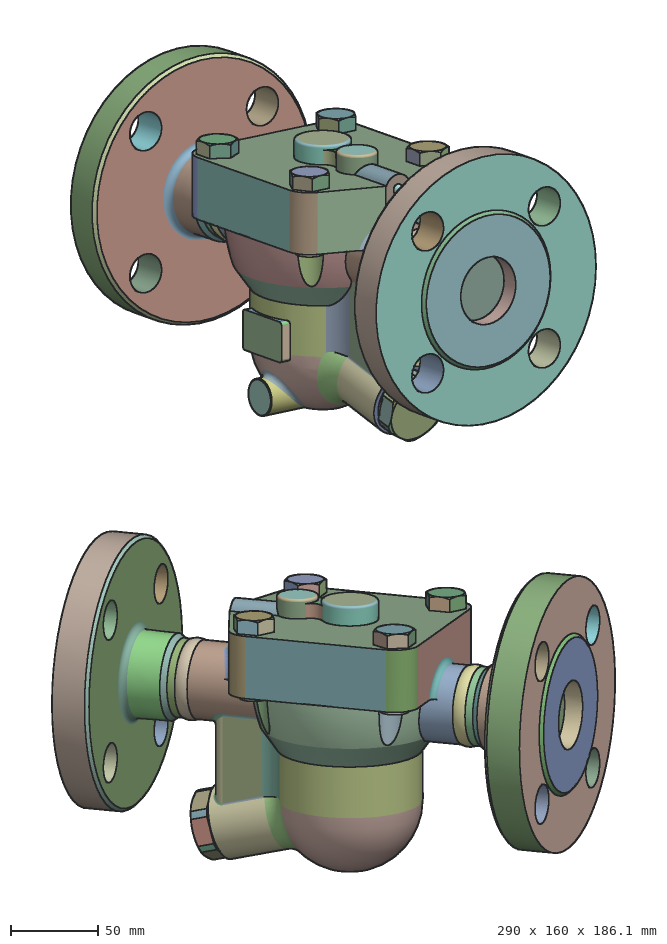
import cadquery as cq
import math


pick_margin = 0.5

overall_length = 290.0
flange_radius = 80.0
raised_face_height = 2.0
raised_face_base_radius = 47.0
raised_face_top_radius = 45.0
flange_thickness = 22.0
flange_chamfer = 2.0
bore_diameter = 40.0
bore_depth = 11.0
bolt_circle_diameter = 120.0
flange_hole_diameter = 23.0
flange_hole_count = 4
neck_fillet = 4.0
neck_root_radius = 25.7
neck_tip_radius = 25.4
neck_length = 20.0
neck_cone_length = 3.5
pipe_radius = 23.0
bead_center_x = 85.0
bead_width = 7.6
bead_height = 0.9

half_length = overall_length / 2
flange_face_x = half_length - raised_face_height
flange_back_x = flange_face_x - flange_thickness
neck_root_x = flange_back_x - neck_fillet
neck_tip_x = neck_root_x - neck_length
pipe_start_x = neck_tip_x - neck_cone_length

body_x = -10.0
plate_bottom_z = 7.8
joint_z = 27.8
cover_top_z = 44.8
cover_bolt_offset = 43.0
plate_corner_radius = 14.5
plate_end_x = 60.4
plate_end_half_width = 9.0
pipe_plate_fillet = 3.5

crown_angle = 30.0
bolt_across_flats = 21.4
bolt_corner_radius = bolt_across_flats / math.sqrt(3)
bolt_head_height = 8.6
bolt_tip_radius = 8.2
bolt_tip_length = 3.2
bolt_clearance_radius = 9.0

boss_top_z = 56.3
large_boss_radius = 16.5
small_boss_radius = 12.0
small_boss_x = 22.0
boss_edge_radius = 1.5
boss_web_top_z = 53.6
boss_web_fillet = 7.0
channel_radius = 9.0
channel_top_z = 50.4
end_ball_radius = 3.2

bowl_radius = 42.0
bowl_center_z = -62.6
shoulder_bottom_z = -32.2
shoulder_top_z = -18.8
shoulder_radius = 51.5
collar_top_radius = 56.7
collar_bulge = 1.0

pad_width = 36.4
pad_top_z = -42.4
pad_bottom_z = -66.6
pad_face_y = -44.0
pad_corner_radius = 2.0

drain_z = -90.8
drain_radius = 11.0
drain_end_y = -46.0
drain_edge_chamfer = 0.5
drain_fillet = 3.0

branch_tilt = 15.0
branch_radius = 22.0
branch_length = 79.5
branch_blend = 16.0
gasket_radius = 19.0
gasket_length = 1.7
plug_end = 92.2
plug_across_flats = 37.8
plug_corner_radius = 20.57
web_half_width = 17.5
web_start_x = 5.0
web_sink = 6.0
web_end_x = 67.5
web_corner_radius = 6.0
web_blend = 16.0
web_pipe_fillet = 3.5
web_branch_fillet = 2.0


def hex_head(across_flats, corner_radius, height):
    """Hexagon head standing on Z=0, turned down to corner_radius, its crown chamfered."""
    crown_radius = across_flats / 2
    crown_drop = (corner_radius - crown_radius) * math.tan(math.radians(crown_angle))
    prism = cq.Workplane("XY").polygon(6, 2 * across_flats / math.sqrt(3)).extrude(height)
    envelope = (
        cq.Workplane("XZ")
        .moveTo(0, 0)
        .lineTo(corner_radius, 0)
        .lineTo(corner_radius, height - crown_drop)
        .lineTo(crown_radius, height)
        .lineTo(0, height)
        .close()
        .revolve(360, (0, 0, 0), (0, 1, 0))
    )
    return prism.intersect(envelope)


def cylinder_z(x, y, radius, bottom, top):
    return cq.Workplane("XY").workplane(offset=bottom).center(x, y).circle(radius).extrude(top - bottom)


def cylinder_x(radius, z, start, end):
    return cq.Workplane("YZ").workplane(offset=start).center(0, z).circle(radius).extrude(end - start)


def box_between(x_range, y_range, z_range):
    sizes = [high - low for low, high in (x_range, y_range, z_range)]
    corner = (x_range[0], y_range[0], z_range[0])
    return cq.Workplane("XY").box(*sizes, centered=False).translate(corner)


def pipe_half():
    """Flange, weld neck and pipe on the +X side, from the body out to the raised face."""
    fillet_sag = neck_fillet * (1 - math.sqrt(0.5))
    half = (
        cq.Workplane("XY")
        .moveTo(body_x, 0)
        .lineTo(body_x, pipe_radius)
        .lineTo(bead_center_x - bead_width / 2, pipe_radius)
        .threePointArc(
            (bead_center_x, pipe_radius + bead_height),
            (bead_center_x + bead_width / 2, pipe_radius),
        )
        .lineTo(pipe_start_x, pipe_radius)
        .lineTo(neck_tip_x, neck_tip_radius)
        .lineTo(neck_root_x, neck_root_radius)
        .threePointArc(
            (flange_back_x - fillet_sag, neck_root_radius + fillet_sag),
            (flange_back_x, neck_root_radius + neck_fillet),
        )
        .lineTo(flange_back_x, flange_radius - flange_chamfer)
        .lineTo(flange_back_x + flange_chamfer, flange_radius)
        .lineTo(flange_face_x, flange_radius)
        .lineTo(flange_face_x, raised_face_base_radius)
        .lineTo(half_length, raised_face_top_radius)
        .lineTo(half_length, 0)
        .close()
        .revolve(360, (0, 0, 0), (1, 0, 0))
    )
    bore = cylinder_x(bore_diameter / 2, 0, half_length - bore_depth, half_length)
    holes = (
        cq.Workplane("YZ")
        .workplane(offset=flange_back_x)
        .polarArray(bolt_circle_diameter / 2, 180 / flange_hole_count, 360, flange_hole_count)
        .circle(flange_hole_diameter / 2)
        .extrude(flange_thickness)
    )
    return half.cut(bore).cut(holes)


def plate(bottom, top):
    """Plate with two rounded corners at -X and a tapered nose at +X."""
    corner_x = body_x + cover_bolt_offset
    left_x = body_x - cover_bolt_offset - plate_corner_radius
    half_width = cover_bolt_offset + plate_corner_radius
    reach_x = plate_end_x - corner_x
    reach_y = plate_end_half_width - cover_bolt_offset
    reach = math.hypot(reach_x, reach_y)
    tangent_angle = math.atan2(reach_y, reach_x) + math.acos(plate_corner_radius / reach)

    def corner_point(angle):
        return (
            corner_x + plate_corner_radius * math.cos(angle),
            cover_bolt_offset + plate_corner_radius * math.sin(angle),
        )

    tangent = corner_point(tangent_angle)
    middle = corner_point((tangent_angle + math.pi / 2) / 2)
    outline = (
        cq.Workplane("XY")
        .workplane(offset=bottom)
        .moveTo(left_x, half_width)
        .lineTo(corner_x, half_width)
        .threePointArc(middle, tangent)
        .lineTo(plate_end_x, plate_end_half_width)
        .lineTo(plate_end_x, -plate_end_half_width)
        .lineTo(tangent[0], -tangent[1])
        .threePointArc((middle[0], -middle[1]), (corner_x, -half_width))
        .lineTo(left_x, -half_width)
        .close()
        .extrude(top - bottom)
    )
    return outline.edges("|Z and <X").fillet(plate_corner_radius)


def body_plate():
    """Lower plate with the upper part of the pipe running into it through fillets."""
    stub_reach = bead_center_x - bead_width
    stub = cylinder_x(pipe_radius, 0, -stub_reach, stub_reach)
    above = box_between(
        (-stub_reach, stub_reach), (-flange_radius, flange_radius), (plate_bottom_z, joint_z)
    )
    joined = plate(plate_bottom_z, joint_z).union(stub.intersect(above))
    left_x = body_x - cover_bolt_offset - plate_corner_radius
    near = pipe_radius + pipe_plate_fillet
    joints = [
        (left_x - pick_margin, left_x + pick_margin),
        (plate_end_x - near / 2, plate_end_x + pick_margin),
    ]
    for start, end in joints:
        joint = cq.selectors.BoxSelector(
            (start, -near, plate_bottom_z - pick_margin), (end, near, pipe_radius + pick_margin), True
        )
        joined = joined.edges(joint).fillet(pipe_plate_fillet)
    return joined


def bowl():
    """Revolved bowl: flared collar, conical shoulder, straight wall and round bottom."""
    collar_middle = (
        (collar_top_radius + shoulder_radius) / 2 + collar_bulge,
        (plate_bottom_z + shoulder_top_z) / 2,
    )
    quarter = math.sqrt(0.5) * bowl_radius
    shape = (
        cq.Workplane("XZ")
        .moveTo(0, plate_bottom_z)
        .lineTo(collar_top_radius, plate_bottom_z)
        .threePointArc(collar_middle, (shoulder_radius, shoulder_top_z))
        .lineTo(bowl_radius, shoulder_bottom_z)
        .lineTo(bowl_radius, bowl_center_z)
        .threePointArc((quarter, bowl_center_z - quarter), (0, bowl_center_z - bowl_radius))
        .close()
        .revolve(360, (0, 0, 0), (0, 1, 0))
        .translate((body_x, 0, 0))
    )
    for x, y in cover_bolt_points():
        shape = shape.cut(cylinder_z(x, y, bolt_clearance_radius, shoulder_bottom_z, plate_bottom_z))
    return shape


def drained_bowl():
    """Bowl with the drain stub blended into its round bottom."""
    drain = (
        cq.Workplane("XZ")
        .center(body_x, drain_z)
        .circle(drain_radius)
        .extrude(-drain_end_y)
        .faces("<Y")
        .chamfer(drain_edge_chamfer)
    )
    reach = drain_radius + pick_margin
    joint = cq.selectors.BoxSelector(
        (body_x - reach, drain_end_y + 2 * drain_edge_chamfer, drain_z - reach),
        (body_x + reach, -pick_margin, drain_z + reach),
        True,
    )
    return bowl().union(drain).edges(joint).fillet(drain_fillet)


def label_pad():
    half_width = pad_width / 2
    pad = box_between(
        (body_x - half_width, body_x + half_width), (pad_face_y, 0), (pad_bottom_z, pad_top_z)
    )
    return pad.edges("|Y").fillet(pad_corner_radius)


def cover_bolt_points():
    signs = [(-1, -1), (1, -1), (1, 1), (-1, 1)]
    return [(body_x + sx * cover_bolt_offset, sy * cover_bolt_offset) for sx, sy in signs]


def cover_bolts():
    """Hexagon heads on the cover, each a quarter turn from the next, and the bolt tips below."""
    bolts = cq.Workplane("XY")
    for index, (x, y) in enumerate(cover_bolt_points()):
        head = hex_head(bolt_across_flats, bolt_corner_radius, bolt_head_height)
        head = head.rotate((0, 0, 0), (0, 0, 1), 90 * (index % 2))
        bolts = bolts.add(head.translate((x, y, cover_top_z)))
        bolts = bolts.add(cylinder_z(x, y, bolt_tip_radius, plate_bottom_z - bolt_tip_length, joint_z))
    return bolts.combine()


def boss_web():
    """Web between the two cover bosses, its flanks one arc tangent to both of them."""
    spacing = small_boss_x - body_x
    to_large = large_boss_radius + boss_web_fillet
    to_small = small_boss_radius + boss_web_fillet
    along = (spacing**2 + to_large**2 - to_small**2) / (2 * spacing)
    across = math.sqrt(to_large**2 - along**2)
    start = (
        body_x + along * large_boss_radius / to_large,
        across * large_boss_radius / to_large,
    )
    end = (
        small_boss_x - (spacing - along) * small_boss_radius / to_small,
        across * small_boss_radius / to_small,
    )
    waist = (body_x + along, across - boss_web_fillet)
    return (
        cq.Workplane("XY")
        .workplane(offset=cover_top_z)
        .moveTo(*start)
        .threePointArc(waist, end)
        .lineTo(end[0], -end[1])
        .threePointArc((waist[0], -waist[1]), (start[0], -start[1]))
        .close()
        .extrude(boss_web_top_z - cover_top_z)
    )


def cover():
    """Cover plate with its two bosses, the web between them and the round channel to the nose."""
    channel_z = channel_top_z - channel_radius
    shape = plate(joint_z, cover_top_z)
    for x, radius in ((body_x, large_boss_radius), (small_boss_x, small_boss_radius)):
        boss = cylinder_z(x, 0, radius, joint_z, boss_top_z)
        shape = shape.union(boss.faces(">Z").edges().fillet(boss_edge_radius))
    channel = cylinder_x(channel_radius, channel_z, small_boss_x, plate_end_x)
    ball = cq.Workplane("XY").sphere(end_ball_radius).translate((plate_end_x, 0, channel_z))
    return shape.union(boss_web()).union(channel).union(ball)


def tilt_branch(shape):
    """Move a shape built along +X from the origin onto the branch axis."""
    return shape.rotate((0, 0, 0), (0, 1, 0), branch_tilt).translate((body_x, 0, bowl_center_z))


def branch():
    return tilt_branch(cylinder_x(branch_radius, 0, 0, branch_length))


def branch_flare():
    """Ring that blends the branch into the round bottom of the bowl."""
    center_radius = branch_radius + branch_blend
    center_x = math.sqrt((bowl_radius + branch_blend) ** 2 - center_radius**2)
    share = bowl_radius / (bowl_radius + branch_blend)
    touch_angle = math.atan2(center_radius, center_x)
    middle_angle = (math.pi + touch_angle + 3 * math.pi / 2) / 2
    flare = (
        cq.Workplane("XY")
        .moveTo(center_x * share, 0)
        .lineTo(center_x * share, center_radius * share)
        .threePointArc(
            (
                center_x + branch_blend * math.cos(middle_angle),
                center_radius + branch_blend * math.sin(middle_angle),
            ),
            (center_x, branch_radius),
        )
        .lineTo(center_x, 0)
        .close()
        .revolve(360, (0, 0, 0), (1, 0, 0))
    )
    return tilt_branch(flare)


def plug():
    """Gasket and hexagon plug closing the branch."""
    head_start = branch_length + gasket_length
    gasket = cylinder_x(gasket_radius, 0, branch_length, head_start)
    head = hex_head(plug_across_flats, plug_corner_radius, plug_end - head_start)
    head = head.rotate((0, 0, 0), (0, 1, 0), 90).translate((head_start, 0, 0))
    return tilt_branch(gasket.union(head))


def above_branch_core(shape):
    """Trim a shape so that it ends inside the branch, a little above the branch axis."""
    keep = box_between((0, 2 * branch_length), (-bowl_radius, bowl_radius), (web_sink, 2 * branch_length))
    return shape.intersect(tilt_branch(keep))


def web():
    """Upright web between pipe and branch, with a rounded end."""
    block = box_between(
        (web_start_x, web_end_x), (-web_half_width, web_half_width), (bowl_center_z - bowl_radius, 0)
    )
    return above_branch_core(block.edges("|Z and >X").fillet(web_corner_radius))


def web_flare():
    """Concave flanks that blend the web into the straight wall of the bowl."""
    blend_y = web_half_width + web_blend
    blend_reach = math.sqrt((bowl_radius + web_blend) ** 2 - blend_y**2)
    share = bowl_radius / (bowl_radius + web_blend)
    middle_angle = (math.pi + math.atan2(blend_y, blend_reach) + 3 * math.pi / 2) / 2
    touch = (body_x + blend_reach * share, blend_y * share)
    middle = (
        body_x + blend_reach + web_blend * math.cos(middle_angle),
        blend_y + web_blend * math.sin(middle_angle),
    )
    flat_start_x = body_x + blend_reach
    flare = (
        cq.Workplane("XY")
        .moveTo(*touch)
        .threePointArc(middle, (flat_start_x, web_half_width))
        .lineTo(flat_start_x, -web_half_width)
        .threePointArc((middle[0], -middle[1]), (touch[0], -touch[1]))
        .close()
        .extrude(bowl_center_z - bowl_radius)
    )
    return above_branch_core(flare)


def branch_assembly():
    """Web joined to a length of the pipe and to the branch, with both joints filleted."""
    reach = web_half_width + pick_margin
    end = web_end_x + pick_margin
    pipe = cylinder_x(pipe_radius, 0, body_x, bead_center_x - bead_width)
    pipe_joint = cq.selectors.BoxSelector(
        (body_x + pick_margin, -reach, -pipe_radius - pick_margin), (end, reach, -web_corner_radius), True
    )
    shape = pipe.union(web()).edges(pipe_joint).fillet(web_pipe_fillet).union(branch())
    branch_joint = cq.selectors.BoxSelector(
        (body_x + pick_margin, -reach, bowl_center_z - branch_radius),
        (end, reach, bowl_center_z + branch_radius),
        True,
    )
    return shape.edges(branch_joint).fillet(web_branch_fillet)


shapes = [
    pipe_half().mirror("YZ"),
    body_plate(),
    drained_bowl(),
    label_pad(),
    cover(),
    cover_bolts(),
    branch_assembly(),
    web_flare(),
    branch_flare(),
    plug(),
]
result = pipe_half()
for shape in shapes:
    result = result.union(shape)